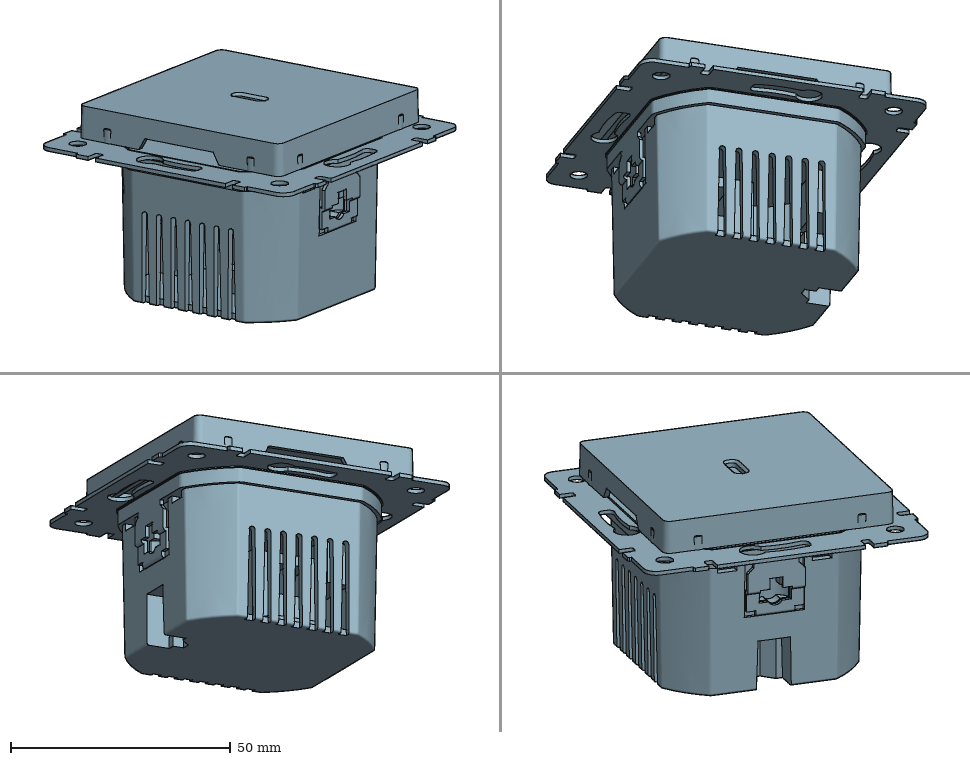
import cadquery as cq
import math


PLATE_SIZE = 70.8
PLATE_BOTTOM = 35.4
PLATE_THICKNESS = 0.9
PLATE_TOP = PLATE_BOTTOM + PLATE_THICKNESS
PLATE_CORNER_INSET = 0.85
PLATE_CORNER_RADIUS = 3.05
TAB_HALF_LENGTH = 23.7
TAB_END_CHAMFER = 0.35
NOTCH_OFFSET = 19.1
NOTCH_WIDTH = 2.05
NOTCH_DEPTH = 3.25
NOTCH_RADIUS = 0.5
SCREW_HOLE_OFFSET = 28.1
SCREW_HOLE_DIAMETER = 4.0
KEYHOLE_INNER_RADIUS = 28.2
KEYHOLE_OUTER_RADIUS = 31.85
KEYHOLE_END = 6.7
KEYHOLE_END_RADIUS = 1.3
KEYHOLE_HEAD_OFFSET = 7.15
KEYHOLE_HEAD_RADIAL = 29.4
KEYHOLE_HEAD_RADIUS = 3.05

TOTAL_HEIGHT = 45.45
COVER_HEIGHT = 7.7
COVER_BOTTOM = TOTAL_HEIGHT - COVER_HEIGHT
COVER_TOP_SIZE = 55.85
COVER_BOTTOM_SIZE = 56.2
COVER_CORNER_RADIUS = 1.8
COVER_WALL = 1.1
COVER_ROOF = 1.8
CUTOUT_TOP_LENGTH = 19.0
CUTOUT_BOTTOM_LENGTH = 22.4
CUTOUT_HEIGHT = 2.8
COVER_RIB_OFFSET = 20.0
COVER_RIB_HALF_WIDTH = 1.05
COVER_RIB_RADIUS = 2.5
COVER_RIB_HEIGHT = 3.7
COVER_RIB_CHAMFER = 0.4
COVER_RIB_REACH = 0.15
PORT_LENGTH = 8.85
PORT_WIDTH = 2.6
PORT_MOUTH_LENGTH = 9.4
PORT_MOUTH_WIDTH = 3.75
PORT_RADIUS = 1.05
PORT_MOUTH_RADIUS = 1.7
PORT_MOUTH_DEPTH = 0.7

BOX_HEIGHT = 31.7
BOX_BOTTOM_HALF = 24.15
BOX_TOP_HALF = 24.7
BOX_BOTTOM_CORNER = 28.6
BOX_BLEND_RADIUS = 1.2
BOX_EDGE_RADIUS = 0.6
BOX_WALL = 1.4
BOX_FLOOR = 1.4
COLLAR_HALF = 25.85
COLLAR_CORNER = 30.15
COLLAR_BLEND_RADIUS = 2.1
LIP_HALF = 26.2
LIP_THICKNESS = 0.3
PLUG_GAP = 0.4

VENT_COUNT = 7
VENT_ROW_LENGTH = 24.0
VENT_PITCH = VENT_ROW_LENGTH / (VENT_COUNT - 1)
VENT_TOP_WIDTH = 1.5
VENT_BOTTOM_WIDTH = 2.05
VENT_HEIGHT = 21.95

BLOCK_LEFT = -2.1
BLOCK_RIGHT = 14.15
BLOCK_TOP = 23.35
BLOCK_HALF_DEPTH = 5.65
BLOCK_WINDOW_WIDTH = 3.7
BLOCK_WINDOW_BOTTOM = 13.65
BLOCK_WINDOW_TOP = 20.95
BLOCK_POST_WIDTH = 1.35
STEP_HEIGHT = 6.95
STEP_REACH = 4.25
STEP_LEFT = -0.85
STEP_RADIUS = 4.2

POCKET_HALF_WIDTH = 7.3
POCKET_BOTTOM = 18.3
POCKET_DEPTH = 1.05
TONGUE_HALF_WIDTH = 7.0
TONGUE_THICKNESS = 0.85
TONGUE_NECK_HALF_WIDTH = 5.5
TONGUE_NECK_BOTTOM = 30.6
TONGUE_SHOULDER = 29.2
TONGUE_BEND_TOP = 24.85
TONGUE_BEND_BOTTOM = 24.0
TONGUE_BOTTOM = 19.75
TONGUE_STEP = 0.8
TOE_HALF_WIDTH = 4.75
TOE_RADIUS = 0.8
BOSS_HALF_WIDTH = 5.65
BOSS_TOP = 29.0
BOSS_DEPTH = 5.65
RECESS_HALF_WIDTH = 3.9
RECESS_RADIUS = 4.25
RECESS_BOTTOM = 21.5
RECESS_TOP = 24.85
RECESS_STEM_HALF_WIDTH = 1.6
RECESS_STEM_TOP = 27.5
RECESS_DIP = 0.9

WINDOW_CENTRE = 11.55
WINDOW_WIDTH = 4.75
WINDOW_HEIGHT = 1.7

ENTRY_TOP = 12.05
ENTRY_TOP_WIDTH = 7.9
ENTRY_BOTTOM_WIDTH = 8.5
ENTRY_DEPTH = 5.65
ENTRY_WALL = 1.05
GROOVE_FRONT = -2.6
GROOVE_MIDDLE = 0.15
GROOVE_BACK = 2.35
GROOVE_DEPTH = 2.75


def slab(length, width, bottom, height):
    """Rectangular block centred on the Z axis."""
    return cq.Workplane("XY", origin=(0, 0, bottom)).rect(length, width).extrude(height)


def block(x_range, y_range, z_range):
    """Block between pairs of coordinates."""
    sizes = [high - low for low, high in (x_range, y_range, z_range)]
    corner = cq.Vector(x_range[0], y_range[0], z_range[0])
    return cq.Workplane(cq.Solid.makeBox(*sizes, corner))


def turned(shape, angle):
    return shape.rotate((0, 0, 0), (0, 0, 1), angle)


def round_square(half, corner_radius, bottom, height, blend, draft=0.0):
    """Square prism cut to a circle about Z at the corners, growing upwards with the draft angle."""
    base = cq.Workplane("XY", origin=(0, 0, bottom))
    prism = base.rect(2 * half, 2 * half).extrude(height, taper=-draft)
    prism = prism.intersect(base.circle(corner_radius).extrude(height, taper=-draft))
    middle = bottom + height / 2
    side_edges = cq.selectors.BoxSelector(
        (-PLATE_SIZE, -PLATE_SIZE, middle - height / 4), (PLATE_SIZE, PLATE_SIZE, middle + height / 4)
    )
    return prism.edges(side_edges).fillet(blend)


def keyhole():
    """Curved slot on the +Y side with its round head towards -X."""
    band = (
        cq.Workplane("XY", origin=(0, 0, PLATE_BOTTOM))
        .circle(KEYHOLE_OUTER_RADIUS)
        .circle(KEYHOLE_INNER_RADIUS)
        .extrude(PLATE_THICKNESS)
    )
    stretch = block(
        (-KEYHOLE_HEAD_OFFSET, KEYHOLE_END), (0, PLATE_SIZE), (PLATE_BOTTOM, PLATE_TOP)
    )
    slot = band.intersect(stretch).edges("|Z and >X").fillet(KEYHOLE_END_RADIUS)
    head = (
        cq.Workplane("XY", origin=(-KEYHOLE_HEAD_OFFSET, KEYHOLE_HEAD_RADIAL, PLATE_BOTTOM))
        .circle(KEYHOLE_HEAD_RADIUS)
        .extrude(PLATE_THICKNESS)
    )
    return slot.union(head)


def make_plate():
    inner_size = PLATE_SIZE - 2 * PLATE_CORNER_INSET
    plate = slab(inner_size, inner_size, PLATE_BOTTOM, PLATE_THICKNESS)
    plate = plate.edges("|Z").fillet(PLATE_CORNER_RADIUS)
    tabs = slab(2 * TAB_HALF_LENGTH, PLATE_SIZE, PLATE_BOTTOM, PLATE_THICKNESS)
    tabs = tabs.edges("|Z").chamfer(TAB_END_CHAMFER)
    plate = plate.union(tabs).union(turned(tabs, 90))

    notch = slab(NOTCH_WIDTH, 2 * NOTCH_DEPTH, PLATE_BOTTOM, PLATE_THICKNESS)
    notch = notch.edges("|Z").fillet(NOTCH_RADIUS)
    for angle in (0, 90, 180, 270):
        for offset in (-NOTCH_OFFSET, NOTCH_OFFSET):
            plate = plate.cut(turned(notch.translate((offset, PLATE_SIZE / 2, 0)), angle))

    screw_hole = (
        cq.Workplane("XY", origin=(0, 0, PLATE_BOTTOM))
        .rect(2 * SCREW_HOLE_OFFSET, 2 * SCREW_HOLE_OFFSET, forConstruction=True)
        .vertices()
        .circle(SCREW_HOLE_DIAMETER / 2)
        .extrude(PLATE_THICKNESS)
    )
    plate = plate.cut(screw_hole)

    top_keyhole = keyhole()
    mirrored_keyhole = top_keyhole.mirror("YZ")
    plate = plate.cut(top_keyhole).cut(top_keyhole.mirror("XZ"))
    plate = plate.cut(turned(mirrored_keyhole, 90)).cut(turned(mirrored_keyhole, 270))

    opening = round_square(
        COLLAR_HALF, COLLAR_CORNER, PLATE_BOTTOM, PLATE_THICKNESS, COLLAR_BLEND_RADIUS
    )
    return plate.cut(opening)


def rounded_rectangle(length, width, radius):
    return cq.Sketch().rect(length, width).vertices().fillet(radius)


def cover_rib():
    """Upright rib with an arched, bevelled top; its axis is the Z axis and it faces +Y."""
    rib_shoulder = COVER_RIB_HEIGHT - COVER_RIB_HALF_WIDTH
    rib_outline = (
        cq.Workplane("XZ")
        .moveTo(-COVER_RIB_HALF_WIDTH, 0)
        .lineTo(-COVER_RIB_HALF_WIDTH, rib_shoulder)
        .threePointArc((0, COVER_RIB_HEIGHT), (COVER_RIB_HALF_WIDTH, rib_shoulder))
        .lineTo(COVER_RIB_HALF_WIDTH, 0)
        .close()
        .extrude(-COVER_RIB_RADIUS)
    )
    rib = cq.Workplane("XY").circle(COVER_RIB_RADIUS).extrude(COVER_RIB_HEIGHT)
    return rib.faces(">Z").chamfer(COVER_RIB_CHAMFER).intersect(rib_outline)


def port_cutter():
    """USB opening through the roof of the cover, flared at the top."""
    throat = rounded_rectangle(PORT_LENGTH, PORT_WIDTH, PORT_RADIUS)
    rim = rounded_rectangle(PORT_MOUTH_LENGTH, PORT_MOUTH_WIDTH, PORT_MOUTH_RADIUS)
    passage = cq.Workplane("XY", origin=(0, 0, COVER_BOTTOM)).placeSketch(throat).extrude(COVER_HEIGHT)
    flare = (
        cq.Workplane("XY", origin=(0, 0, TOTAL_HEIGHT - PORT_MOUTH_DEPTH))
        .placeSketch(throat, rim.moved(cq.Location(cq.Vector(0, 0, PORT_MOUTH_DEPTH))))
        .loft()
    )
    return passage.union(flare)


def make_cover():
    draft = math.degrees(math.atan((COVER_BOTTOM_SIZE - COVER_TOP_SIZE) / 2 / COVER_HEIGHT))
    base = rounded_rectangle(COVER_BOTTOM_SIZE, COVER_BOTTOM_SIZE, COVER_CORNER_RADIUS)
    cover = cq.Workplane("XY", origin=(0, 0, COVER_BOTTOM)).placeSketch(base)
    cover = cover.extrude(COVER_HEIGHT, taper=draft)
    rib = cover_rib()
    rib_place = COVER_BOTTOM_SIZE / 2 + COVER_RIB_REACH - COVER_RIB_RADIUS
    for angle in (0, 90, 180, 270):
        for offset in (-COVER_RIB_OFFSET, COVER_RIB_OFFSET):
            cover = cover.union(turned(rib.translate((offset, rib_place, COVER_BOTTOM)), angle))

    cavity_size = COVER_TOP_SIZE - 2 * COVER_WALL
    cover = cover.cut(slab(cavity_size, cavity_size, COVER_BOTTOM, COVER_HEIGHT - COVER_ROOF))

    cutout = (
        cq.Workplane("XZ", origin=(0, 0, COVER_BOTTOM))
        .polyline([
            (-CUTOUT_BOTTOM_LENGTH / 2, 0),
            (-CUTOUT_TOP_LENGTH / 2, CUTOUT_HEIGHT),
            (CUTOUT_TOP_LENGTH / 2, CUTOUT_HEIGHT),
            (CUTOUT_BOTTOM_LENGTH / 2, 0),
        ])
        .close()
        .extrude(PLATE_SIZE / 2, both=True)
    )
    return cover.cut(cutout).cut(port_cutter())


def make_shell():
    """Hollow drafted box with the collar, lip and plug that carry the plate."""
    draft = math.degrees(math.atan((BOX_TOP_HALF - BOX_BOTTOM_HALF) / BOX_HEIGHT))
    shell = round_square(BOX_BOTTOM_HALF, BOX_BOTTOM_CORNER, 0, BOX_HEIGHT, BOX_BLEND_RADIUS, draft)
    shell = shell.faces("<Z").edges().fillet(BOX_EDGE_RADIUS)
    cavity = round_square(
        BOX_BOTTOM_HALF - BOX_WALL,
        BOX_BOTTOM_CORNER - BOX_WALL,
        BOX_FLOOR,
        BOX_HEIGHT - BOX_FLOOR,
        BOX_BLEND_RADIUS,
    )
    shell = shell.cut(cavity)
    lip_bottom = PLATE_BOTTOM - LIP_THICKNESS
    collar = round_square(
        COLLAR_HALF, COLLAR_CORNER, BOX_HEIGHT, lip_bottom - BOX_HEIGHT, COLLAR_BLEND_RADIUS
    )
    lip_growth = LIP_HALF - COLLAR_HALF
    lip = round_square(
        LIP_HALF, COLLAR_CORNER + lip_growth, lip_bottom, LIP_THICKNESS, COLLAR_BLEND_RADIUS
    )
    plug = round_square(
        COLLAR_HALF - PLUG_GAP,
        COLLAR_CORNER - PLUG_GAP,
        PLATE_BOTTOM,
        PLATE_THICKNESS,
        COLLAR_BLEND_RADIUS,
    )
    return shell.union(collar).union(lip).union(plug)


def vent_cutter():
    """One ventilation slot, widening downwards, cut from outside to the inner wall face."""
    top_half = VENT_TOP_WIDTH / 2
    bottom_half = VENT_BOTTOM_WIDTH / 2
    inner_face = BOX_BOTTOM_HALF - BOX_WALL
    return (
        cq.Workplane("XZ", origin=(0, -inner_face, 0))
        .moveTo(-bottom_half, 0)
        .lineTo(-top_half, VENT_HEIGHT - top_half)
        .threePointArc((0, VENT_HEIGHT), (top_half, VENT_HEIGHT - top_half))
        .lineTo(bottom_half, 0)
        .close()
        .extrude(2 * BOX_WALL)
    )


def terminal_block():
    body = block(
        (BLOCK_LEFT, BLOCK_RIGHT), (-BLOCK_HALF_DEPTH, BLOCK_HALF_DEPTH), (BOX_FLOOR, BLOCK_TOP)
    )
    post_centre = 2 * VENT_PITCH
    window_offset = (BLOCK_POST_WIDTH + BLOCK_WINDOW_WIDTH) / 2
    for centre in (post_centre - window_offset, post_centre + window_offset):
        half = BLOCK_WINDOW_WIDTH / 2
        body = body.cut(block(
            (centre - half, centre + half),
            (-BLOCK_HALF_DEPTH, BLOCK_HALF_DEPTH),
            (BLOCK_WINDOW_BOTTOM, BLOCK_WINDOW_TOP),
        ))
    step = block(
        (STEP_LEFT, BLOCK_RIGHT),
        (-BLOCK_HALF_DEPTH - STEP_REACH, -BLOCK_HALF_DEPTH),
        (BOX_FLOOR, STEP_HEIGHT),
    )
    step = step.edges("|Z and <X and <Y").fillet(STEP_RADIUS)
    return body.union(step)


def tongue():
    """Stepped leaf hanging from the collar on the -X side."""
    outer = -COLLAR_HALF
    inner = outer + TONGUE_THICKNESS
    lower_outer = outer + TONGUE_STEP
    bend_centre_z = TONGUE_BEND_BOTTOM + TONGUE_STEP
    bend_reach = TONGUE_STEP * math.sqrt(0.5)
    profile = (
        cq.Workplane("XZ")
        .moveTo(outer, BOX_HEIGHT)
        .lineTo(outer, bend_centre_z)
        .threePointArc(
            (lower_outer - bend_reach, bend_centre_z - bend_reach), (lower_outer, TONGUE_BEND_BOTTOM)
        )
        .lineTo(lower_outer, POCKET_BOTTOM)
        .lineTo(inner + TONGUE_STEP, POCKET_BOTTOM)
        .lineTo(inner + TONGUE_STEP, TONGUE_BEND_TOP)
        .lineTo(inner, TONGUE_BEND_TOP)
        .lineTo(inner, BOX_HEIGHT)
        .close()
        .extrude(TONGUE_HALF_WIDTH, both=True)
    )
    right_half = [
        (TONGUE_NECK_HALF_WIDTH, BOX_HEIGHT),
        (TONGUE_NECK_HALF_WIDTH, TONGUE_NECK_BOTTOM),
        (TONGUE_HALF_WIDTH, TONGUE_SHOULDER),
        (TONGUE_HALF_WIDTH, TONGUE_BOTTOM),
        (TOE_HALF_WIDTH, TONGUE_BOTTOM),
        (TOE_HALF_WIDTH, POCKET_BOTTOM),
    ]
    left_half = [(-y, z) for y, z in reversed(right_half)]
    outline = cq.Workplane("YZ").polyline(right_half + left_half).close().extrude(-PLATE_SIZE / 2)
    leaf = profile.intersect(outline)
    return leaf.faces("<Z").edges("<X").fillet(TOE_RADIUS)


def screw_recess():
    """T-shaped recess with a round back, open towards -X."""
    outline = (
        cq.Workplane("YZ")
        .moveTo(-RECESS_HALF_WIDTH, RECESS_TOP)
        .lineTo(-RECESS_STEM_HALF_WIDTH, RECESS_TOP)
        .lineTo(-RECESS_STEM_HALF_WIDTH, RECESS_STEM_TOP)
        .lineTo(RECESS_STEM_HALF_WIDTH, RECESS_STEM_TOP)
        .lineTo(RECESS_STEM_HALF_WIDTH, RECESS_TOP)
        .lineTo(RECESS_HALF_WIDTH, RECESS_TOP)
        .lineTo(RECESS_HALF_WIDTH, RECESS_BOTTOM)
        .lineTo(RECESS_STEM_HALF_WIDTH, RECESS_BOTTOM)
        .threePointArc((0, RECESS_BOTTOM - RECESS_DIP), (-RECESS_STEM_HALF_WIDTH, RECESS_BOTTOM))
        .lineTo(-RECESS_HALF_WIDTH, RECESS_BOTTOM)
        .close()
        .extrude(-PLATE_SIZE / 2)
    )
    axis_x = TONGUE_STEP - COLLAR_HALF
    back = cq.Workplane("XY", origin=(axis_x, 0, 0)).circle(RECESS_RADIUS).extrude(BOX_HEIGHT)
    mouth = block((-COLLAR_HALF, axis_x), (-RECESS_HALF_WIDTH, RECESS_HALF_WIDTH), (0, BOX_HEIGHT))
    return outline.intersect(back.union(mouth))


def add_claw_side(housing, angle):
    """Pocket, tongue, screw boss and snap windows, turned from the -X side by the angle."""
    wall_inside = -BOX_BOTTOM_HALF + BOX_WALL
    boss = block(
        (POCKET_DEPTH - BOX_TOP_HALF, wall_inside + BOSS_DEPTH),
        (-BOSS_HALF_WIDTH, BOSS_HALF_WIDTH),
        (POCKET_BOTTOM, BOSS_TOP),
    )
    pocket = block(
        (-COLLAR_HALF, POCKET_DEPTH - BOX_TOP_HALF),
        (-POCKET_HALF_WIDTH, POCKET_HALF_WIDTH),
        (POCKET_BOTTOM, BOX_HEIGHT),
    )
    housing = housing.union(turned(boss, angle)).cut(turned(pocket, angle))
    housing = housing.union(turned(tongue(), angle)).cut(turned(screw_recess(), angle))
    for centre in (-WINDOW_CENTRE, WINDOW_CENTRE):
        window = block(
            (-COLLAR_HALF, wall_inside),
            (centre - WINDOW_WIDTH / 2, centre + WINDOW_WIDTH / 2),
            (BOX_HEIGHT - WINDOW_HEIGHT, BOX_HEIGHT),
        )
        housing = housing.cut(turned(window, angle))
    return housing


def add_cable_entry(housing):
    """Open-bottomed entry in the -X wall, lined inside, with a slanted groove in its back."""
    back = ENTRY_DEPTH - BOX_BOTTOM_HALF
    lining_half = ENTRY_BOTTOM_WIDTH / 2 + ENTRY_WALL
    lining = block(
        (-BOX_BOTTOM_HALF + BOX_WALL / 2, back + GROOVE_DEPTH + ENTRY_WALL),
        (-lining_half, lining_half),
        (BOX_FLOOR, ENTRY_TOP + ENTRY_WALL),
    )
    entry = (
        cq.Workplane("YZ", origin=(back, 0, 0))
        .polyline([
            (-ENTRY_BOTTOM_WIDTH / 2, 0),
            (-ENTRY_TOP_WIDTH / 2, ENTRY_TOP),
            (ENTRY_TOP_WIDTH / 2, ENTRY_TOP),
            (ENTRY_BOTTOM_WIDTH / 2, 0),
        ])
        .close()
        .extrude(-2 * ENTRY_DEPTH)
    )
    groove = (
        cq.Workplane("XY")
        .polyline([
            (back, GROOVE_FRONT),
            (back + GROOVE_DEPTH, GROOVE_MIDDLE),
            (back + GROOVE_DEPTH, GROOVE_BACK),
            (back, GROOVE_BACK),
        ])
        .close()
        .extrude(ENTRY_TOP)
    )
    return housing.union(lining).cut(entry).cut(groove)


def make_housing():
    housing = make_shell().union(terminal_block())
    vent = vent_cutter()
    for i in range(VENT_COUNT):
        placed = vent.translate((i * VENT_PITCH - VENT_ROW_LENGTH / 2, 0, 0))
        housing = housing.cut(placed).cut(placed.mirror("XZ"))
    for angle in (0, 180):
        housing = add_claw_side(housing, angle)
    return add_cable_entry(housing)


cover = make_cover().solids()
plate = make_plate().solids()
housing = make_housing().solids()
result = cq.Compound.makeCompound([cover.val(), plate.val(), housing.val()])